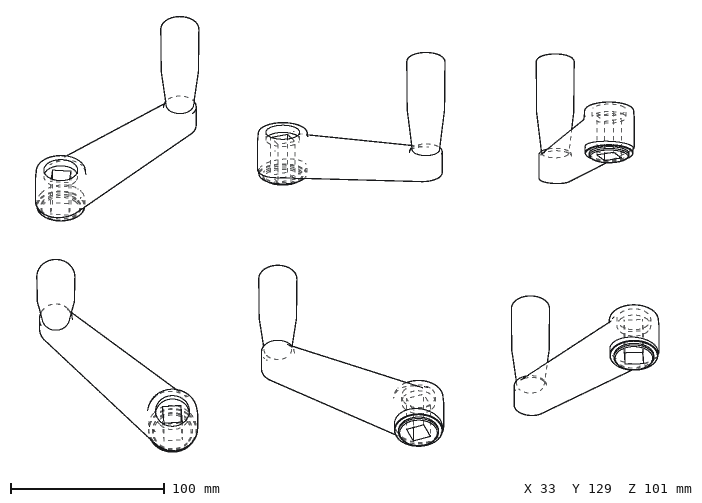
import cadquery as cq
import math


arm_length = 100.0
hub_radius = 16.5
boss_radius = 10.7
top_edge_round = 1.0
lower_edge_round = 1.3
hub_blend = 1.0
boss_blend = 0.5
wall_flare = 1.0

underside_height = 6.3
underside_angle = 6.4
ridge_height = 27.3
ridge_angle = 4.2
crown_radius = 51.6
arm_middle_height = 19.3

hub_top = 32.2
hub_cone_base = 26.0
hub_draft = 5.0
hub_edge_round = 1.0
collar_diameter = 31.3
spigot_diameter = 26.0
spigot_height = 2.0
spigot_chamfer = 0.8
collar_chamfer = 0.4
recess_diameter = 22.0
recess_depth = 5.2
square_side = 12.0

boss_top = 36.0
boss_edge_round = 1.3

handle_top = 101.0
handle_waist_height = 65.0
handle_base_radius = 8.9
handle_waist_radius = 12.3
handle_top_radius = 12.5
handle_top_round = 1.9
handle_base_round = 0.6


def cylinder(radius, bottom, top, y=0.0):
    """Upright cylinder between two levels."""
    return cq.Workplane("XY", origin=(0, y, bottom)).circle(radius).extrude(top - bottom)


def tangent_corners():
    """Points on the +X side where the straight flank meets the hub and boss circles."""
    lean = (hub_radius - boss_radius) / arm_length
    across = math.sqrt(1 - lean**2)
    hub_corner = (hub_radius * across, hub_radius * lean)
    boss_corner = (boss_radius * across, arm_length + boss_radius * lean)
    return hub_corner, boss_corner


def make_blank():
    """Full arm outline, two arcs and two flanks, with a sloping rounded underside."""
    (hub_x, hub_y), (boss_x, boss_y) = tangent_corners()
    outline = (
        cq.Workplane("XY")
        .moveTo(-hub_x, hub_y)
        .threePointArc((0, -hub_radius), (hub_x, hub_y))
        .lineTo(boss_x, boss_y)
        .threePointArc((0, arm_length + boss_radius), (-boss_x, boss_y))
        .close()
        .extrude(boss_top + 1.3)
    )
    reach = 2 * arm_length
    above_underside = (
        cq.Workplane("XY")
        .box(reach, 2 * reach, reach, centered=(True, True, False))
        .rotate((0, 0, 0), (1, 0, 0), underside_angle)
        .translate((0, 0, underside_height))
    )
    blank = outline.intersect(above_underside)
    return blank.faces("<Z").edges().fillet(lower_edge_round)


def make_crowned_web():
    """Straight-flanked web between the end circles, with a crowned top and rounded top edges."""
    (hub_x, hub_y), (boss_x, boss_y) = tangent_corners()
    web = (
        cq.Workplane("XY")
        .polyline([(-hub_x, hub_y), (hub_x, hub_y), (boss_x, boss_y), (-boss_x, boss_y)])
        .close()
        .extrude(boss_top + 1.3)
    )
    crown = (
        cq.Workplane("XZ", origin=(0, -arm_length, -crown_radius))
        .circle(crown_radius)
        .extrude(-3 * arm_length)
        .rotate((0, 0, 0), (1, 0, 0), ridge_angle)
        .translate((0, 0, ridge_height))
    )
    web = web.intersect(crown)
    long_top_edges = web.edges("%ELLIPSE").edges(cq.selectors.LengthNthSelector(-1))
    return long_top_edges.fillet(top_edge_round)


def rise(angle, run):
    """Offset gained over a run at an angle in degrees."""
    return run * math.tan(math.radians(angle))


def round_column(wall, rim_round, y):
    """Column from its wall points (radius, height), listed upwards, with a rounded rim."""
    column = (
        cq.Workplane("XZ", origin=(0, y, 0))
        .polyline([(0, wall[0][1]), *wall, (0, wall[-1][1])])
        .close()
        .revolve(360, (0, 0, 0), (0, 1, 0))
    )
    return column.faces(">Z").edges().fillet(rim_round)


def make_hub():
    wall = [
        (hub_radius + rise(wall_flare, hub_cone_base), 0),
        (hub_radius, hub_cone_base),
        (hub_radius - rise(hub_draft, hub_top - hub_cone_base), hub_top),
    ]
    return round_column(wall, hub_edge_round, 0)


def make_boss():
    round_start = boss_top - boss_edge_round
    wall = [
        (boss_radius + rise(wall_flare, round_start), 0),
        (boss_radius - rise(wall_flare, boss_edge_round), boss_top),
    ]
    return round_column(wall, boss_edge_round, arm_length)


def make_foot():
    """Collar and spigot under the hub, both with a chamfered lower edge."""
    collar = cylinder(collar_diameter / 2, spigot_height, arm_middle_height)
    collar = collar.faces("<Z").chamfer(collar_chamfer)
    spigot = cylinder(spigot_diameter / 2, 0, arm_middle_height)
    return collar.union(spigot.faces("<Z").chamfer(spigot_chamfer))


def blend_at(body, point, radius):
    """Fillet the edge nearest to a point."""
    return body.edges(cq.selectors.NearestToPointSelector(point)).fillet(radius)


def make_arm():
    upper = make_crowned_web().union(make_hub()).union(make_boss())
    upper = blend_at(upper, (0, hub_radius, ridge_height), hub_blend)
    upper = blend_at(upper, (0, arm_length - boss_radius, boss_top - boss_edge_round), boss_blend)
    arm = make_blank().intersect(upper).union(make_foot())

    recess = cylinder(recess_diameter / 2, hub_top - recess_depth, hub_top)
    square = cq.Workplane("XY").rect(square_side, square_side).extrude(hub_top)
    square = square.rotate((0, 0, 0), (0, 0, 1), 45)
    return arm.cut(recess).cut(square)


def make_handle():
    """Turned grip standing on the boss."""
    handle = (
        cq.Workplane("XZ", origin=(0, arm_length, 0))
        .moveTo(0, boss_top)
        .lineTo(handle_base_radius, boss_top)
        .lineTo(handle_waist_radius, handle_waist_height)
        .lineTo(handle_top_radius, handle_top)
        .lineTo(0, handle_top)
        .close()
        .revolve(360, (0, 0, 0), (0, 1, 0))
    )
    handle = handle.faces(">Z").edges().fillet(handle_top_round)
    return handle.faces("<Z").edges().fillet(handle_base_round)


arm = make_arm()
handle = make_handle()
result = cq.Compound.makeCompound([arm.val(), handle.val()])